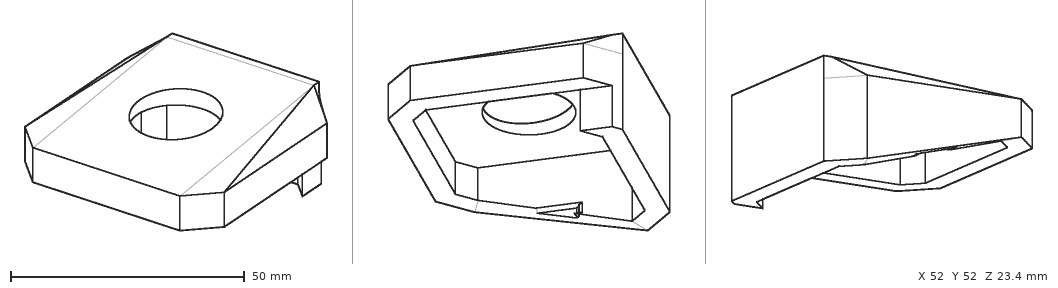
import cadquery as cq

HALF = 26.0
CORNER = 6.8
FLAT_HALF = HALF - CORNER
HEIGHT = 23.4
RIM_Z = 10.0
EAVE_Z = 18.4
RIDGE_Y = 24.0

WALL = 5.0
CEILING_Z = 17.9
INNER_HALF = HALF - WALL
INNER_FLAT_HALF = FLAT_HALF - WALL * (2**0.5 - 1)
HOLE_DIAMETER = 20.0

RECESS_BOTTOM = 3.75
RECESS_HEIGHT = 2.5
RECESS_DEPTH = 2.3
RECESS_BACK_Y = 4.15
RECESS_STEP_START = 1.05
RECESS_STEP_END = 1.45

CUT_MARGIN = 5.2


def octagon_points(half, flat_half):
    return [
        (-flat_half, -half), (flat_half, -half), (half, -flat_half), (half, flat_half),
        (flat_half, half), (-flat_half, half), (-half, flat_half), (-half, -flat_half),
    ]


def flat_face(points):
    wire = cq.Wire.makePolygon([cq.Vector(*p) for p in points], close=True)
    return cq.Face.makeFromWires(wire)


def twisted_face(start_a, end_a, start_b, end_b):
    """Ruled surface between two straight edges that are not parallel."""
    edge_a = cq.Edge.makeLine(cq.Vector(*start_a), cq.Vector(*end_a))
    edge_b = cq.Edge.makeLine(cq.Vector(*start_b), cq.Vector(*end_b))
    return cq.Face.makeRuledSurface(edge_a, edge_b)


def roof():
    """Main slope, level ridge strip and flat side facets and a twisted face at each back corner."""
    outline = octagon_points(HALF, FLAT_HALF)
    base = [(x, y, EAVE_Z) for x, y in outline]
    ridge = {side: (side * FLAT_HALF, RIDGE_Y, HEIGHT) for side in (-1, 1)}
    back = {side: (side * FLAT_HALF, HALF, HEIGHT) for side in (-1, 1)}
    polygons = [
        base,
        [base[0], base[1], ridge[1], ridge[-1]],
        [ridge[-1], ridge[1], back[1], back[-1]],
        [back[-1], back[1], base[4], base[5]],
    ]
    twisted = []
    for side in (-1, 1):
        front = (side * FLAT_HALF, -HALF, EAVE_Z)
        side_front = (side * HALF, -FLAT_HALF, EAVE_Z)
        side_back = (side * HALF, FLAT_HALF, EAVE_Z)
        back_low = (side * FLAT_HALF, HALF, EAVE_Z)
        polygons += [
            [front, side_front, ridge[side]],
            [side_front, side_back, ridge[side]],
        ]
        twisted.append(twisted_face(ridge[side], back[side], side_back, back_low))
    faces = [flat_face(points) for points in polygons] + twisted
    return cq.Workplane(obj=cq.Solid.makeSolid(cq.Shell.makeShell(faces)))


def pocket():
    outline = octagon_points(INNER_HALF, INNER_FLAT_HALF)
    return cq.Workplane("XY").polyline(outline).close().extrude(CEILING_Z)


def lower_openings():
    """Clear the front and +X walls below the rim and taper the -X wall."""
    reach = HALF + CUT_MARGIN
    right = (
        cq.Workplane("XY")
        .box(reach - INNER_HALF, 2 * reach, RIM_Z, centered=False)
        .translate((INNER_HALF, -reach, 0))
    )

    def taper_section(x, corner_y):
        points = [(-corner_y, RIM_Z), (corner_y, 0), (-reach, 0), (-reach, RIM_Z)]
        return cq.Wire.makePolygon([cq.Vector(x, y, z) for y, z in points], close=True)

    left = cq.Solid.makeLoft(
        [taper_section(-HALF, FLAT_HALF), taper_section(-INNER_HALF, INNER_FLAT_HALF)], True
    )
    front = (
        cq.Workplane("XY")
        .box(2 * INNER_HALF, reach, RIM_Z, centered=False)
        .translate((-INNER_HALF, -reach, 0))
    )
    return right.union(front).union(cq.Workplane(obj=left))


def wall_recess():
    """Slot with a stepped, slanting back end, open to the tapered underside."""
    deep_x = -INNER_HALF - RECESS_DEPTH
    step_end_x = -INNER_HALF - RECESS_STEP_END
    step_start_x = -INNER_HALF - RECESS_STEP_START
    first_slant_y = RECESS_BACK_Y + RECESS_DEPTH - RECESS_STEP_END
    points = [
        (deep_x, -HALF),
        (deep_x, RECESS_BACK_Y),
        (step_end_x, first_slant_y),
        (step_start_x, first_slant_y),
        (-INNER_HALF, first_slant_y + RECESS_STEP_START),
        (-INNER_HALF, -HALF),
    ]
    blank = cq.Workplane("XY").workplane(offset=RECESS_BOTTOM).polyline(points).close()
    return blank.extrude(RECESS_HEIGHT)


skirt = cq.Workplane("XY").polyline(octagon_points(HALF, FLAT_HALF)).close().extrude(EAVE_Z)
body = skirt.union(roof())
body = body.cut(pocket()).cut(lower_openings()).cut(wall_recess())
result = body.cut(cq.Workplane("XY").circle(HOLE_DIAMETER / 2).extrude(HEIGHT))